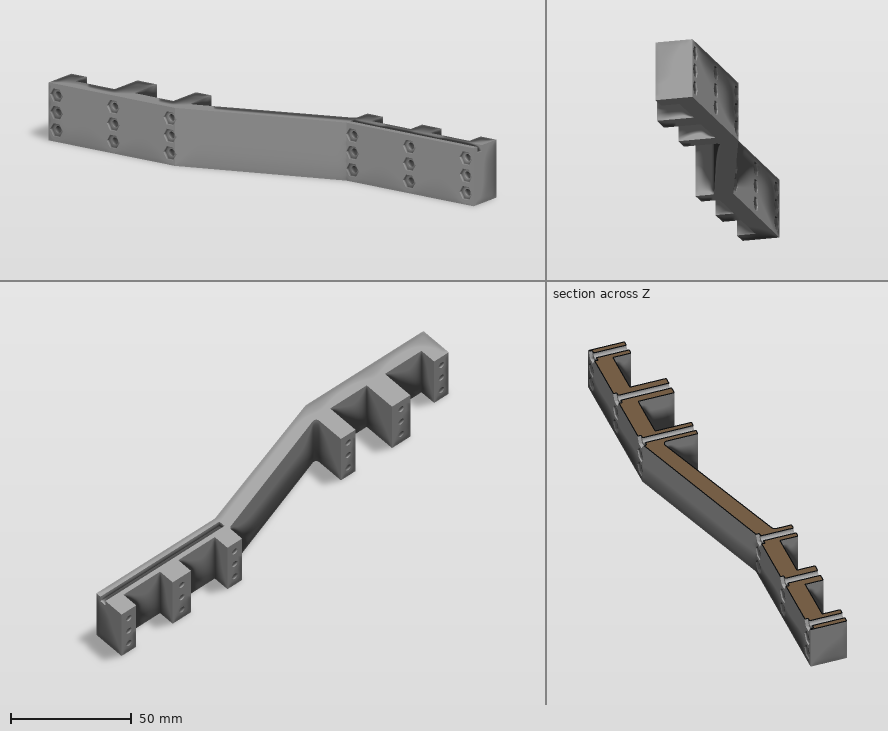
import cadquery as cq

length = 200.0
height = 25.0
wall = 8.0
plate_offset = 24.0
left_plate_end = 64.5
right_plate_start = 135.0

end_post_width = 8.0
middle_post_width = 10.0
short_post_reach = 16.0
tall_post_reach = 24.0
inner_post_inset = 66.0
web_fillet = 1.5

hole_diameter = 3.0
hole_edge_margin = 5.0
nut_across_flats = 5.5
nut_depth = 1.5

groove_start = 134.8
groove_setback = 2.5
groove_width = 3.2
groove_depth = 2.5

full_depth = plate_offset + short_post_reach
end_post_center = end_post_width / 2
middle_post_center = inner_post_inset / 2
inner_post_center = inner_post_inset - end_post_width / 2
post_centers = [end_post_center, middle_post_center, inner_post_center]
nut_across_corners = nut_across_flats / 0.75 ** 0.5
hole_rows = [hole_edge_margin, height / 2, height - hole_edge_margin]


def make_bar():
    """Left plate, slanted web and right plate as one full-height extrusion."""
    outline = [
        (0, 0),
        (left_plate_end, 0),
        (right_plate_start, plate_offset),
        (length, plate_offset),
        (length, plate_offset + wall),
        (length - inner_post_inset, plate_offset + wall),
        (inner_post_inset, wall),
        (0, wall),
    ]
    return cq.Workplane("XY").polyline(outline).close().extrude(height)


def make_post(center_x, width, plate_back, reach):
    """Full-height post running from the back of a plate to a Y reach."""
    depth = reach - plate_back
    return (
        cq.Workplane("XY")
        .box(width, depth, height, centered=(True, False, False))
        .translate((center_x, plate_back, 0))
    )


def make_screw_hole(x, plate_front, z):
    """Through hole along Y with a nut pocket in the front face of a plate."""
    plane = cq.Workplane("XZ", origin=(x, plate_front, z))
    hole = plane.circle(hole_diameter / 2).extrude(-full_depth)
    pocket = plane.polygon(6, nut_across_corners).extrude(-nut_depth)
    return hole.union(pocket)


def make_groove():
    """Rectangular channel cut down from the top edge of the right plate."""
    corner = (groove_start, plate_offset + groove_setback, height - groove_depth)
    return (
        cq.Workplane("XY")
        .box(length - groove_start, groove_width, groove_depth, centered=False)
        .translate(corner)
    )


result = make_bar()

post_widths = [end_post_width, middle_post_width, end_post_width]
left_reaches = [short_post_reach, tall_post_reach, tall_post_reach]
for center, width, left_reach in zip(post_centers, post_widths, left_reaches):
    result = result.union(make_post(center, width, wall, left_reach))
    result = result.union(make_post(length - center, width, plate_offset + wall, full_depth))

web_corners = [
    (inner_post_inset, wall),
    (length - inner_post_inset, plate_offset + wall),
]
for x, y in web_corners:
    corner_edge = cq.selectors.NearestToPointSelector((x, y, height / 2))
    result = result.edges("|Z").edges(corner_edge).fillet(web_fillet)

for center in post_centers:
    for row in hole_rows:
        result = result.cut(make_screw_hole(center, 0, row))
        result = result.cut(make_screw_hole(length - center, plate_offset, row))

result = result.cut(make_groove())